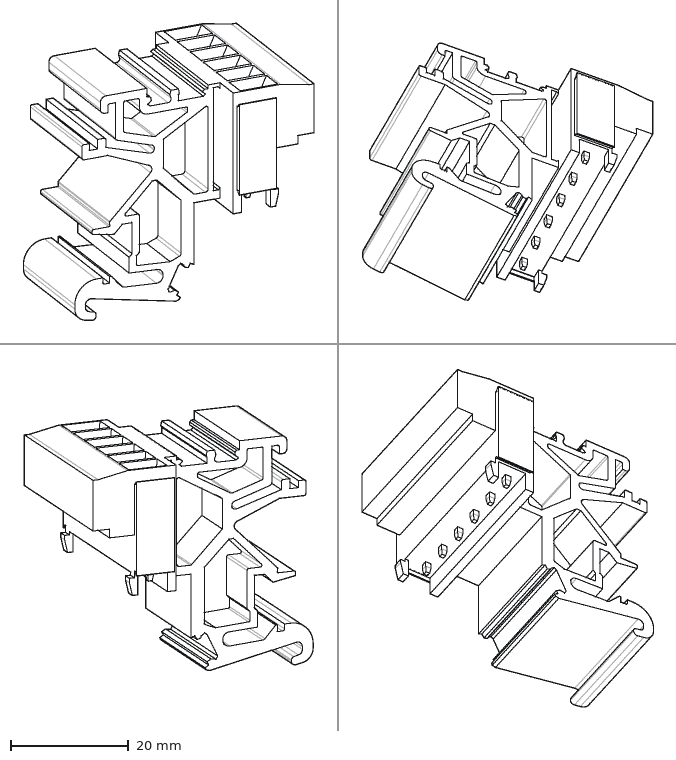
import cadquery as cq
import math


HOUSING_WIDTH = 30.5
HOUSING_BACK = 15.3
HOUSING_BACK_TOP = -1.03
SIDE_STEP = 7.7
UNDERSIDE = -18.55
LEG_BOTTOM = -22.25
LEG_THICKNESS = 1.6

POLES = 6
PITCH = HOUSING_WIDTH / POLES

OVERALL_WIDTH = 32.5
PLATE_FRONT = 0.7
PLATE_TOP = -1.92
PLATE_RIM = 0.2
PLATE_NECK = 0.35
PLATE_BEVEL_DROP = 0.6

LATCH_WIDTH = 1.75
LATCH_INNER = 7.0
LATCH_SHOULDER = -19.1

FUNNEL_WIDTH = 4.3
FUNNEL_FRONT = 1.5
FUNNEL_BACK = 8.55
FUNNEL_FLOOR_WIDTH = 2.82
FUNNEL_FLOOR_FRONT = 2.25
FUNNEL_FLOOR_BACK = 6.0
FUNNEL_DEPTH = 4.45

PIN_Y = 3.85
PIN_SIZE = 1.05
PIN_TIP_SIZE = 0.73
PIN_SHOULDER = -19.62
PIN_TIP = -20.7

FOOT_WIDTH = 20.18
FOOT_WALL_TOP = -1.92
FOOT_SHELF = -21.2
HOOK_FRONT = -27.45
CHANNEL_DEPTH = 1.3
CHANNEL_TOP = -0.7
CHANNEL_BOTTOM = -19.62
CHANNEL_CHAMFER = 0.35

WEB_THICKNESS = 1.95
WEB_TOP = -1.2
WEB_BEVEL_START = -1.6
WEB_BEVEL_LENGTH = 0.65


def corner_path(before, corner, after):
    """The point of a sharp corner, or the start, middle and end of the arc that rounds it."""
    y, z = corner[:2]
    if len(corner) == 2:
        return [(y, z)]
    radius = corner[2]
    angle_before = math.atan2(before[1] - z, before[0] - y)
    angle_after = math.atan2(after[1] - z, after[0] - y)
    half_angle = math.acos(math.cos(angle_after - angle_before)) / 2
    bisector = math.atan2(
        math.sin(angle_before) + math.sin(angle_after), math.cos(angle_before) + math.cos(angle_after)
    )
    tangent_length = radius / math.tan(half_angle)
    arc_distance = radius / math.sin(half_angle) - radius
    steps = [(tangent_length, angle_before), (arc_distance, bisector), (tangent_length, angle_after)]
    return [(y + length * math.cos(angle), z + length * math.sin(angle)) for length, angle in steps]


def extrude_profile(corners, width, center_x=0.0):
    """Prism along X from (y, z) or (y, z, corner radius) corners, centred on center_x."""
    sketch = cq.Workplane("YZ", origin=(center_x - width / 2, 0, 0))
    for i in range(len(corners)):
        path = corner_path(corners[i - 1], corners[i], corners[(i + 1) % len(corners)])
        sketch = sketch.moveTo(*path[0]) if i == 0 else sketch.lineTo(*path[0])
        if len(path) > 1:
            sketch = sketch.threePointArc(path[1], path[2])
    return sketch.close().extrude(width)


def frustum(lower, upper):
    """Solid between two rectangles, each (x size, y size, centre y, z), centred on X = 0."""
    x_size, y_size, y, z = lower
    upper_x_size, upper_y_size, upper_y, upper_z = upper
    return (
        cq.Workplane("XY", origin=(0, y, z))
        .rect(x_size, y_size)
        .workplane(offset=upper_z - z)
        .center(0, upper_y - y)
        .rect(upper_x_size, upper_y_size)
        .loft(ruled=True)
    )


def pole_positions():
    return [(i - (POLES - 1) / 2) * PITCH for i in range(POLES)]


def make_housing_body():
    return extrude_profile(
        [
            (0, 0),
            (8.95, 0),
            (14.35, HOUSING_BACK_TOP),
            (HOUSING_BACK, HOUSING_BACK_TOP),
            (HOUSING_BACK, -10.0),
            (12.25, -10.0),
            (12.25, -11.55),
            (SIDE_STEP, -11.55),
            (SIDE_STEP, UNDERSIDE),
            (LEG_THICKNESS, UNDERSIDE),
            (LEG_THICKNESS, LEG_BOTTOM),
            (0, LEG_BOTTOM),
        ],
        HOUSING_WIDTH,
    )


def make_funnel():
    opening = (FUNNEL_WIDTH, FUNNEL_BACK - FUNNEL_FRONT, (FUNNEL_BACK + FUNNEL_FRONT) / 2, 0)
    floor = (
        FUNNEL_FLOOR_WIDTH,
        FUNNEL_FLOOR_BACK - FUNNEL_FLOOR_FRONT,
        (FUNNEL_FLOOR_BACK + FUNNEL_FLOOR_FRONT) / 2,
        -FUNNEL_DEPTH,
    )
    return frustum(floor, opening)


def make_side_plate():
    """Dovetail plate on the -X end of the housing."""
    outer = -OVERALL_WIDTH / 2
    neck = -HOUSING_WIDTH / 2 - PLATE_NECK
    return (
        cq.Workplane("XZ", origin=(0, SIDE_STEP, 0))
        .polyline(
            [
                (outer, UNDERSIDE),
                (outer, PLATE_TOP),
                (outer + PLATE_RIM, PLATE_TOP),
                (neck, PLATE_TOP - PLATE_BEVEL_DROP),
                (-HOUSING_WIDTH / 2, PLATE_TOP - PLATE_BEVEL_DROP),
                (-HOUSING_WIDTH / 2, UNDERSIDE + PLATE_BEVEL_DROP),
                (neck, UNDERSIDE + PLATE_BEVEL_DROP),
                (outer + PLATE_RIM, UNDERSIDE),
            ]
        )
        .close()
        .extrude(SIDE_STEP - PLATE_FRONT)
    )


def make_latch():
    """Barbed latch under the -X end of the housing."""
    return extrude_profile(
        [
            (LATCH_INNER, UNDERSIDE),
            (SIDE_STEP, UNDERSIDE),
            (SIDE_STEP, LATCH_SHOULDER),
            (8.6, LATCH_SHOULDER),
            (8.6, -19.9),
            (8.05, LEG_BOTTOM),
            (LATCH_INNER, LEG_BOTTOM),
        ],
        LATCH_WIDTH,
        center_x=(LATCH_WIDTH - HOUSING_WIDTH) / 2,
    )


def make_housing():
    housing = make_housing_body()
    for end_part in (make_side_plate(), make_latch()):
        housing = housing.union(end_part).union(end_part.mirror("YZ"))
    for x in pole_positions():
        housing = housing.cut(make_funnel().translate((x, 0, 0)))
    return housing


def foot_corners():
    top_lip = [
        (0, CHANNEL_TOP - CHANNEL_CHAMFER),
        (0, 0),
        (-2.25, 0),
        (-2.25, CHANNEL_TOP),
        (-2.95, CHANNEL_TOP),
        (-3.38, -1.05),
        (-2.8, -1.6),
        (-3.15, FOOT_WALL_TOP),
    ]
    upright_rib = [
        (-7.85, FOOT_WALL_TOP),
        (-7.85, -0.85),
        (-7.7, -0.55),
        (-7.85, 0.25),
        (-9.28, 0.25),
        (-9.5, -0.5),
        (-9.0, FOOT_WALL_TOP, 0.6),
    ]
    rail_hook = [
        (-13.2, FOOT_WALL_TOP),
        (-13.7, -1.6),
        (-13.0, -1.0),
        (-13.05, -0.5),
        (-13.3, -0.15),
        (-13.85, -0.15),
        (-13.85, 1.4),
        (-22.6, 1.4, 1.03),
        (-22.6, -1.75, 0.85),
        (-21.2, -1.75),
        (-21.2, -0.15, 0.35),
        (-19.8, -0.15),
        (-19.8, -7.0, 0.5),
    ]
    spring_slot_end = [
        (-12.23, -9.4, 0.7),
        (-12.7, -10.77, 0.7),
    ]
    spring_arm = [
        (-21.55, -8.1),
        (-21.55, -6.33, 0.4),
        (-23.13, -6.33),
        (-23.13, -8.1),
        (-24.7, -8.1),
        (-24.7, -6.85),
        (-26.1, -6.85, 0.35),
        (-26.1, -9.6, 0.43),
        (-21.2, -9.6),
        (-12.23, -13.3, 0.85),
    ]
    lower_fin = [
        (-20.9, -21.9, 0.15),
        (-20.8, -22.75, 0.15),
        (-24.2, -22.75, 0.35),
        (-24.2, -23.6, 0.25),
        (-20.05, -24.32),
        (-18.45, -22.75),
        (-16.65, -22.75),
        (-16.65, -28.47),
        (-17.2, -29.03),
        (-17.2, -31.95),
    ]
    clamp_slot_end = [
        (-10.77, -32.28, 1.2),
        (-10.77, -34.8, 1.2),
    ]
    clamp_hook = [
        (-18.4, -34.33, 0.65),
        (-20.5, -31.95),
        (-20.85, -31.95),
        (-20.85, -33.15),
        (-22.15, -33.15, 0.35),
        (-22.15, -31.95),
        (HOOK_FRONT, -31.95, 4.0),
        (HOOK_FRONT, -38.77, 2.5),
        (-23.43, -39.55, 0.7),
        (-23.43, -38.0, 0.55),
        (-25.45, -37.55, 0.95),
        (-25.45, -35.2, 0.95),
    ]
    foot_teeth = [
        (-8.35, -38.7),
        (-7.7, -38.48),
        (-7.52, -38.1),
        (-8.15, -37.65),
        (-7.85, -37.05),
        (-8.6, -36.65),
        (-9.55, -36.8),
        (-9.85, -36.25),
        (-7.85, -32.25),
        (-7.45, -31.9),
        (-6.85, -32.3),
        (-6.65, -32.75),
        (-6.03, -32.9),
        (-5.6, -32.2),
        (-4.9, -32.58),
    ]
    shelf_and_channel = [
        (-4.9, FOOT_SHELF),
        (0, FOOT_SHELF),
        (0, CHANNEL_BOTTOM + CHANNEL_CHAMFER),
        (-CHANNEL_CHAMFER, CHANNEL_BOTTOM),
        (-CHANNEL_DEPTH, CHANNEL_BOTTOM),
        (-CHANNEL_DEPTH, CHANNEL_TOP),
        (-CHANNEL_CHAMFER, CHANNEL_TOP),
    ]
    return (
        top_lip + upright_rib + rail_hook + spring_slot_end + spring_arm + lower_fin
        + clamp_slot_end + clamp_hook + foot_teeth + shelf_and_channel
    )


def back_pocket_corners():
    return [
        (-2.25, -3.65, 0.35),
        (-10.7, -8.45, 0.2),
        (-10.7, -13.85),
        (-4.9, CHANNEL_BOTTOM, 0.35),
        (-2.25, CHANNEL_BOTTOM, 0.5),
    ]


def top_pocket_corners():
    return [
        (-6.1, -3.35, 0.35),
        (-15.25, -3.35, 1.62),
        (-15.25, -0.15, 0.25),
        (-18.2, -0.15, 0.25),
        (-18.2, -5.9, 0.4),
        (-12.35, -7.75, 0.43),
        (-6.1, -4.25, 0.35),
    ]


def lower_pocket_corners():
    return [
        (-7.35, -20.3),
        (-11.93, -15.77),
        (-12.8, -15.77),
        (-18.4, -21.38, 0.3),
        (-15.25, -21.38, 0.35),
        (-15.25, -28.47),
        (-15.77, -29.03),
        (-15.77, -30.82, 0.25),
        (-9.45, -31.2),
        (-7.35, -30.4, 0.5),
    ]


def channel_web_corners():
    return [
        (0, CHANNEL_BOTTOM),
        (0, WEB_BEVEL_START),
        (-WEB_BEVEL_LENGTH, WEB_TOP),
        (-CHANNEL_DEPTH, WEB_TOP),
        (-CHANNEL_DEPTH, CHANNEL_BOTTOM),
    ]


def make_foot():
    foot = extrude_profile(foot_corners(), FOOT_WIDTH)
    pocket_depth = (FOOT_WIDTH - WEB_THICKNESS) / 2
    pocket_center = (WEB_THICKNESS + pocket_depth) / 2
    for corners in (back_pocket_corners(), top_pocket_corners(), lower_pocket_corners()):
        for side in (-1, 1):
            foot = foot.cut(extrude_profile(corners, pocket_depth, side * pocket_center))
    return foot.union(extrude_profile(channel_web_corners(), WEB_THICKNESS))


def make_pin(x):
    """Square pin with a tapered tip, standing on the underside of the housing."""
    shank = (
        cq.Workplane("XY", origin=(0, PIN_Y, PIN_SHOULDER))
        .rect(PIN_SIZE, PIN_SIZE)
        .extrude(UNDERSIDE - PIN_SHOULDER)
    )
    tip = frustum(
        (PIN_TIP_SIZE, PIN_TIP_SIZE, PIN_Y, PIN_TIP),
        (PIN_SIZE, PIN_SIZE, PIN_Y, PIN_SHOULDER),
    )
    return shank.union(tip).translate((x, 0, 0))


block = make_housing().union(make_foot())
pins = [make_pin(x) for x in pole_positions()]

result = cq.Compound.makeCompound([block.val(), *[pin.val() for pin in pins]])